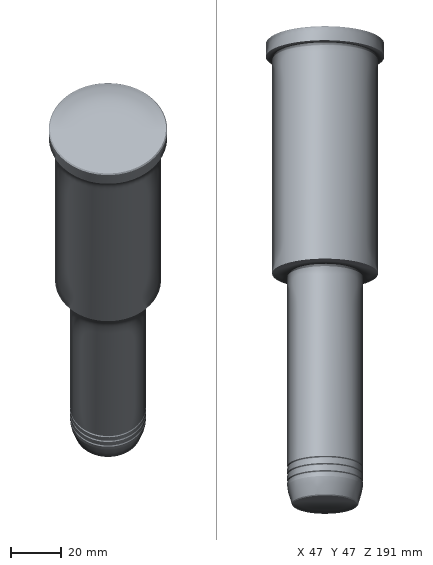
import cadquery as cq

total_length = 191.0

head_diameter = 47.0
head_thickness = 6.0
head_chamfer = 0.48

shank_diameter = 42.0
shank_end = 95.5
shank_relief_width = 1.3
shank_relief_depth = 0.5

pin_diameter = 30.0
pin_relief_width = 1.3
pin_relief_depth = 1.1

groove_count = 3
groove_span = 6.0
groove_width = 0.8
groove_depth = 0.48
nose_to_groove_land = 1.62

nose_length = 7.5
nose_tip_diameter = 26.4
nose_bulge = 0.29
tip_chamfer = 0.4

head_radius = head_diameter / 2
shank_radius = shank_diameter / 2
pin_radius = pin_diameter / 2
nose_tip_radius = nose_tip_diameter / 2
head_bottom = total_length - head_thickness
groove_pitch = groove_span / (groove_count - 1)
lowest_groove_bottom = nose_length + nose_to_groove_land


def make_disc(radius, bottom, top):
    """Solid cylinder on the Z axis between two heights."""
    return cq.Workplane("XY").workplane(offset=bottom).circle(radius).extrude(top - bottom)


def make_head():
    head = make_disc(head_radius, head_bottom, total_length)
    return head.faces(">Z").edges().chamfer(head_chamfer)


def make_shank():
    """Upper cylinder, chamfered into a narrow neck where it meets the head."""
    shoulder = head_bottom - shank_relief_width + shank_relief_depth
    shank = make_disc(shank_radius, shank_end, shoulder)
    shank = shank.faces(">Z").edges().chamfer(shank_relief_depth)
    return shank.union(make_disc(shank_radius - shank_relief_depth, shoulder, head_bottom))


def make_groove_cutter(bottom):
    """Ring with a triangular section that points at the pin axis."""
    section = cq.Workplane("XZ").polyline(
        [
            (pin_radius, bottom),
            (pin_radius - groove_depth, bottom + groove_width / 2),
            (pin_radius, bottom + groove_width),
        ]
    )
    return section.close().revolve(360, (0, 0, 0), (0, 1, 0))


def make_pin():
    """Lower cylinder, necked down under the shank and grooved above the nose."""
    relief_bottom = shank_end - pin_relief_width
    pin = make_disc(pin_radius, nose_length, relief_bottom)
    pin = pin.union(make_disc(pin_radius - pin_relief_depth, relief_bottom, shank_end))
    for index in range(groove_count):
        pin = pin.cut(make_groove_cutter(lowest_groove_bottom + index * groove_pitch))
    return pin


def make_nose():
    """Revolved nose whose side is a shallow convex arc."""
    bulge_radius = (nose_tip_radius + pin_radius) / 2 + nose_bulge
    bulge_height = (tip_chamfer + nose_length) / 2
    profile = (
        cq.Workplane("XZ")
        .lineTo(nose_tip_radius - tip_chamfer, 0)
        .lineTo(nose_tip_radius, tip_chamfer)
        .threePointArc((bulge_radius, bulge_height), (pin_radius, nose_length))
        .lineTo(0, nose_length)
        .close()
    )
    return profile.revolve(360, (0, 0, 0), (0, 1, 0))


result = make_head().union(make_shank()).union(make_pin()).union(make_nose())